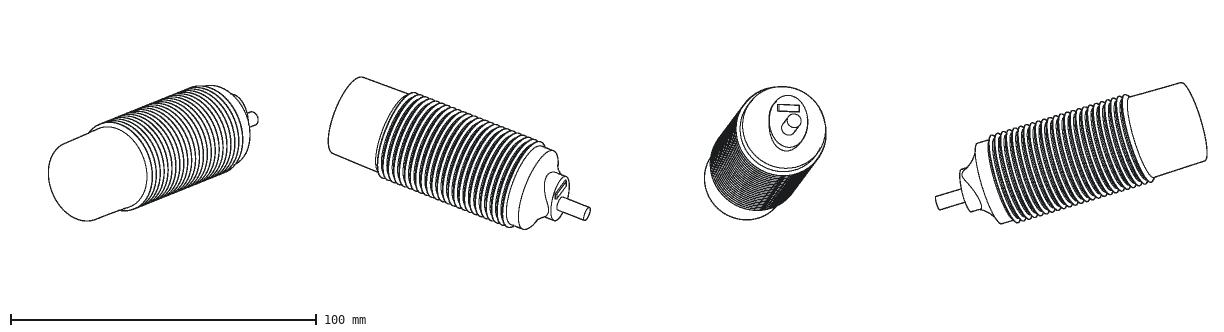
import cadquery as cq
import math

total_length = 89.1

barrel_radius = 13.8
nose_length = 18.0
nose_face_radius = 13.45
nose_edge_round = 0.45
barrel_rear_y = 71.0

crest_radius = 30.0 / 2
ridge_count = 24
first_ridge_y = 19.3
last_ridge_y = 65.8
ridge_pitch = (last_ridge_y - first_ridge_y) / (ridge_count - 1)
crest_width = 0.2
ridge_height = crest_radius - barrel_radius
flank_run = ridge_height * math.tan(math.radians(30))

flare_rear_radius = 6.15
flare_arc_radius = 12.0
cable_length = 10.0
block_rear_y = total_length - cable_length
block_width = 12.8
block_height = 17.55

cable_diameter = 4.6
cable_z = -cable_diameter / 2
window_width = 7.3
window_height = 2.2
window_thickness = 0.5
window_end_chamfer = 0.4
window_z = 4.4


def revolve_about_y(profile):
    return profile.close().revolve(360, (0, 0, 0), (0, 1, 0))


def plane_facing_rear(y, z=0):
    """Plane at depth y with local axes along X and Z and its normal along +Y."""
    return cq.Plane(origin=(0, y, z), xDir=(-1, 0, 0), normal=(0, 1, 0))


def make_barrel():
    """Tapered nose, threaded barrel core and concave flare as one turned body."""
    profile = (
        cq.Workplane("XY")
        .lineTo(nose_face_radius, 0)
        .lineTo(barrel_radius, nose_length)
        .lineTo(barrel_radius, barrel_rear_y)
        .radiusArc((flare_rear_radius, block_rear_y), flare_arc_radius)
        .lineTo(0, block_rear_y)
    )
    return revolve_about_y(profile).faces("<Y").edges().fillet(nose_edge_round)


def make_ridge(y, front_root_y):
    """One thread ridge centred at y; its front flank meets the barrel at front_root_y."""
    inner_radius = barrel_radius - ridge_height
    half_crest = crest_width / 2
    rear_root_y = y + half_crest + flank_run
    profile = (
        cq.Workplane("XY")
        .moveTo(inner_radius, front_root_y)
        .lineTo(barrel_radius, front_root_y)
        .lineTo(crest_radius, y - half_crest)
        .lineTo(crest_radius, y + half_crest)
        .lineTo(barrel_radius, rear_root_y)
        .lineTo(inner_radius, rear_root_y)
    )
    return revolve_about_y(profile)


def make_cable_block():
    """Upright block of elliptical section, rising out of the flare."""
    return (
        cq.Workplane(plane_facing_rear(barrel_rear_y))
        .ellipse(block_width / 2, block_height / 2)
        .extrude(block_rear_y - barrel_rear_y)
    )


def make_cable():
    return (
        cq.Workplane(plane_facing_rear(block_rear_y, cable_z))
        .circle(cable_diameter / 2)
        .extrude(cable_length)
    )


def make_window():
    return (
        cq.Workplane(plane_facing_rear(block_rear_y, window_z))
        .rect(window_width, window_height)
        .extrude(window_thickness)
        .faces(">Y")
        .edges("|Z")
        .chamfer(window_end_chamfer)
    )


result = make_barrel()
for index in range(ridge_count):
    ridge_y = first_ridge_y + index * ridge_pitch
    front_root_y = nose_length if index == 0 else ridge_y - crest_width / 2 - flank_run
    result = result.union(make_ridge(ridge_y, front_root_y))
result = result.union(make_cable_block()).union(make_cable()).union(make_window())